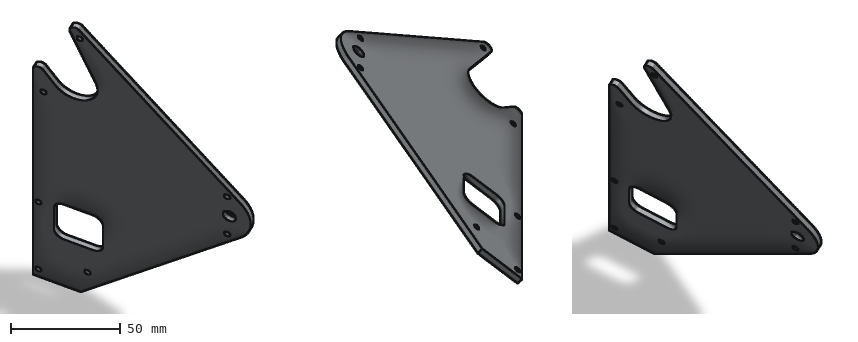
import cadquery as cq
import math

length = 110.6
height = 187.5
thickness = 3.2
base_width = 24.4

lip_radius = 3.0
lip_top = 150.0
notch_radius = 12.0
notch_center = (20.8, 148.7)
tip_radius = 3.0
tip_left = 18.5
nose_radius = 16.9
nose_height = 93.0

screw_diameter = 3.0
bore_diameter = 6.5
bore_center = (99.8, 93.2)
nose_screw_x = 98.6
nose_screw_offset = 13.3
edge_screw_x = 2.8
screw_centers = [
    (edge_screw_x, 5.3),
    (edge_screw_x, 53.3),
    (27.8, 16.0),
    (5.5, 133.3),
    (23.8, 181.0),
    (nose_screw_x, bore_center[1] - nose_screw_offset),
    (nose_screw_x, bore_center[1] + nose_screw_offset),
]
window_size = 25.0
window_radius = 5.3
window_center = (23.16, 45.67)

corners = [
    ((0, 0), 0),
    ((lip_radius, lip_top - lip_radius), lip_radius),
    (notch_center, -notch_radius),
    ((tip_left + tip_radius, height - tip_radius), tip_radius),
    ((length - nose_radius, nose_height), nose_radius),
    ((base_width, 0), 0),
]


def edge_normal_angle(start, end):
    """Angle of the outward normal of the straight edge tangent to two corners."""
    (x1, z1), r1 = start
    (x2, z2), r2 = end
    distance = math.hypot(x2 - x1, z2 - z1)
    return math.atan2(z2 - z1, x2 - x1) + math.acos((r1 - r2) / distance)


def corner_point(corner, angle):
    """Point on a corner arc where the outward normal has the given angle."""
    (x, z), radius = corner
    return (x + radius * math.cos(angle), z + radius * math.sin(angle))


def make_plate():
    outline = cq.Workplane("XZ").moveTo(*corners[0][0])
    for index in range(1, len(corners)):
        corner = corners[index]
        following = corners[(index + 1) % len(corners)]
        angle_in = edge_normal_angle(corners[index - 1], corner)
        angle_out = edge_normal_angle(corner, following)
        outline = outline.lineTo(*corner_point(corner, angle_in))
        if corner[1] != 0:
            turn = math.remainder(angle_out - angle_in, 2 * math.pi)
            middle = corner_point(corner, angle_in + turn / 2)
            outline = outline.threePointArc(middle, corner_point(corner, angle_out))
    return outline.close().extrude(thickness / 2, both=True)


def make_holes(centers, diameter):
    return cq.Workplane("XZ").pushPoints(centers).circle(diameter / 2).extrude(thickness, both=True)


def make_window():
    block = cq.Workplane("XZ").center(*window_center).rect(window_size, window_size)
    return block.extrude(thickness, both=True).edges("|Y").fillet(window_radius)


result = (
    make_plate()
    .cut(make_holes(screw_centers, screw_diameter))
    .cut(make_holes([bore_center], bore_diameter))
    .cut(make_window())
)